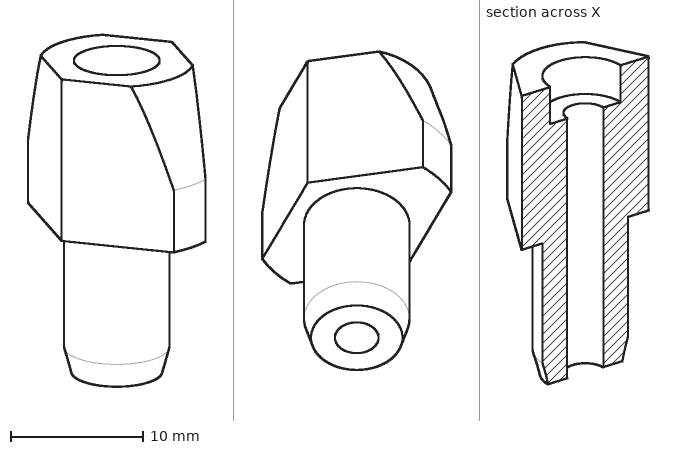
import cadquery as cq
import math

total_height = 25.0
head_height = 13.0
shank_height = total_height - head_height

head_radius = 8.0
head_taper_height = 8.0
rhombus_half_x = 11.0
rhombus_half_y = 5.9

shank_radius = 4.0
tip_height = 2.0
taper_angle = math.radians(15)

counterbore_radius = 3.25
counterbore_depth = 3.1
bore_radius = 1.65


def make_head():
    prism = (
        cq.Workplane("XY")
        .workplane(offset=shank_height)
        .polyline([
            (rhombus_half_x, 0),
            (0, rhombus_half_y),
            (-rhombus_half_x, 0),
            (0, -rhombus_half_y),
        ])
        .close()
        .extrude(head_height)
    )
    top_radius = head_radius - head_taper_height * math.tan(taper_angle)
    envelope = (
        cq.Workplane("XZ")
        .moveTo(0, shank_height)
        .lineTo(head_radius, shank_height)
        .lineTo(head_radius, total_height - head_taper_height)
        .lineTo(top_radius, total_height)
        .lineTo(0, total_height)
        .close()
        .revolve(360, (0, 0), (0, 1))
    )
    return prism.intersect(envelope)


def make_shank():
    tip_radius = shank_radius - tip_height * math.tan(taper_angle)
    return (
        cq.Workplane("XZ")
        .lineTo(tip_radius, 0)
        .lineTo(shank_radius, tip_height)
        .lineTo(shank_radius, shank_height)
        .lineTo(0, shank_height)
        .close()
        .revolve(360, (0, 0), (0, 1))
    )


def make_stepped_bore():
    bore = cq.Workplane("XY").circle(bore_radius).extrude(total_height)
    counterbore = (
        cq.Workplane("XY")
        .workplane(offset=total_height - counterbore_depth)
        .circle(counterbore_radius)
        .extrude(counterbore_depth)
    )
    return bore.union(counterbore)


result = make_head().union(make_shank()).cut(make_stepped_bore())